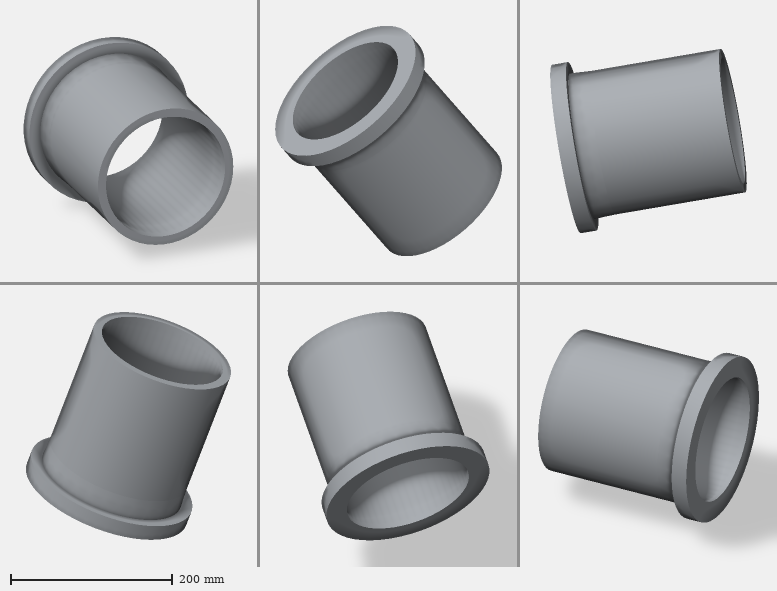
import cadquery as cq

total_length = 210.0
flange_diameter = 212.0
flange_thickness = 20.0
neck_end = 46.6
neck_diameter = 183.2
pipe_diameter = 180.6
bore_diameter = 158.8

flange_radius = flange_diameter / 2
neck_radius = neck_diameter / 2
pipe_radius = pipe_diameter / 2
bore_radius = bore_diameter / 2

half_section = (
    cq.Workplane("XY")
    .moveTo(0, bore_radius)
    .lineTo(0, flange_radius)
    .lineTo(flange_thickness, flange_radius)
    .lineTo(flange_thickness, neck_radius)
    .lineTo(neck_end, pipe_radius)
    .lineTo(total_length, pipe_radius)
    .lineTo(total_length, bore_radius)
    .close()
)

result = half_section.revolve(360, (0, 0, 0), (1, 0, 0)).translate((-total_length / 2, 0, 0))